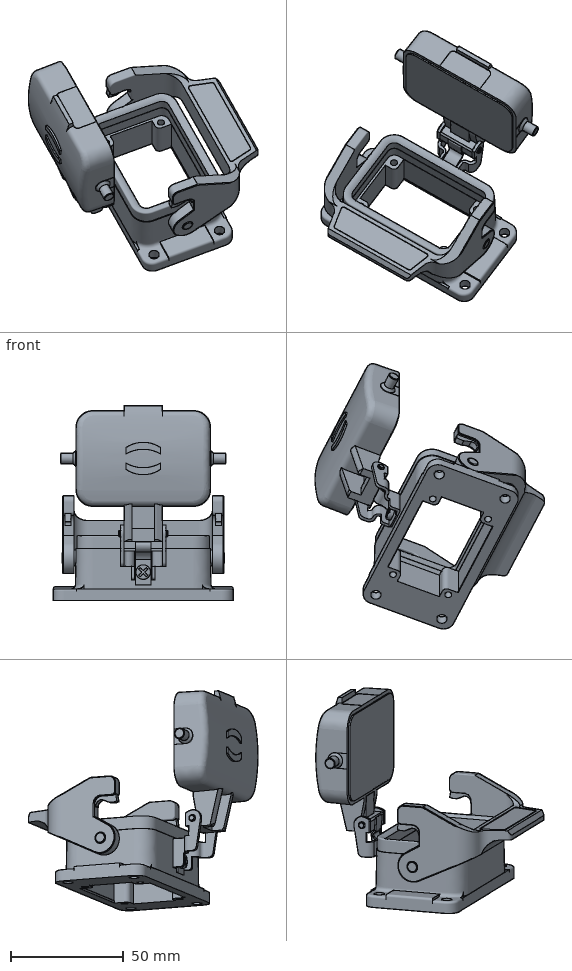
import cadquery as cq
import math

flange_length, flange_width, flange_height = 80.01, 43.5, 5.3
flange_corner_radius = 5.0
flange_edge_radius = 1.1
raised_pad_height = 6.3
raised_pad_width = 22.0
mount_hole_diameter = 4.5
mount_hole_x, mount_hole_y = 35.0, 16.0

wall_base_length, wall_base_width, wall_corner_radius = 60.4, 43.4, 7.7
wall_top_z = 23.1
wall_draft = 1.0
foot_radius = 1.8

collar_length, collar_width, collar_top_z = 59.1, 42.4, 28.9
collar_corner_radius = 7.3
collar_outer_radius, collar_crown_radius = 0.6, 5.0
collar_crown_inset = 1.9

opening_length, opening_width, opening_corner_radius = 51.4, 34.8, 3.5
wall_step = 0.1
ledge_z, lip_z = 17.3, 1.0
lower_opening_length = 49.0
post_x, post_y, post_corner_radius = 19.2, 10.2, 2.2
post_hole_x, post_hole_y, post_hole_diameter = 22.0, 13.4, 3.0

pivot_z = 19.0
pivot_diameter, pivot_hole_diameter, pivot_boss_diameter = 5.0, 5.1, 7.0
pivot_end_x = 36.15
pivot_chamfer = 0.4
lever_outer_x, lever_inner_x = 35.8, 30.7
lever_eye_radius = 7.0
lever_slope = math.radians(25.3)
lever_edge_chamfer, nose_edge_radius = 0.35, 0.5
lever_top_z, lever_top_end_y = 46.7, 5.0
nose_y, nose_under_z = -7.2, 37.9
nose_top_radius, nose_under_radius, throat_radius = 2.9, 1.6, 3.2
throat_y, throat_bottom_z = 3.1, 28.9
bend_start_y = 19.2
crossbar_x, crossbar_inner_y = 24.9, 25.1
handle_end_y, handle_top_z, handle_under_z = 41.46, 35.7, 31.4
handle_recess_depth = 0.3

latch_inner_x, latch_outer_x = 32.2, 34.8

lid_length, lid_height, lid_corner_radius = 59.8, 42.6, 7.5
lid_middle_z = 63.2
lid_back_y, lid_front_y = -33.1, -48.95
lid_dome_radius = 79.7
lid_draft = 1.0
lid_edge_radius = 2.9
lid_top_z = lid_middle_z + lid_height / 2
seal_length, seal_height, seal_corner_radius, seal_back_y = 56.4, 39.3, 6.0, -32.4
tab_length, tab_top_z, tab_back_y = 17.0, 86.73, -43.4
top_pad_length, top_pad_front_y, top_pad_radius = 21.4, -43.2, 1.8
lid_pin_y, lid_pin_diameter, lid_pin_end_x = -38.7, 4.75, 36.8
lid_boss_diameter, lid_boss_x, lid_cone_end_x = 7.0, 30.0, 31.3
lid_pin_chamfer = 0.3
badge_half_length, badge_front_y = 7.6, -49.57

hinge_y, hinge_z = -33.4, 29.8
hinge_pin_diameter, hinge_pin_end_x = 3.0, 10.9
ear_outer_x, ear_inner_x, ear_radius = 10.0, 8.5, 3.8
bracket_top_z, bracket_leg_bottom_z, bracket_ear_bottom_z = 22.1, 9.3, 15.2
bracket_back_y, bracket_plate_y, bracket_leg_end_y = -21.3, -22.8, -26.9
bracket_foot_radius = 1.2
notch_half_length, notch_front_y, notch_depth = 1.7, -22.3, 2.0
arm_inner_x = 4.9
arm_chamfer_depth, arm_chamfer_width = 2.3, 0.6
web_front_y, web_back_y, web_bottom_z = -35.0, -33.3, 31.7
knuckle_top_z = 32.0
hinge_pin_chamfer = 0.4
leaf_length, leaf_thickness = 7.0, 0.7
screw_z, screw_head_diameter, screw_head_y = 12.7, 6.5, -25.4
screw_head_radius = 0.6
screw_slot_length, screw_slot_width, screw_slot_depth = 4.8, 1.0, 0.8


def rounded_block(length, width, bottom, height, radius):
    """Upright block with rounded vertical corners, centred on the Z axis."""
    block = cq.Workplane("XY").workplane(offset=bottom).rect(length, width).extrude(height)
    return block.edges("|Z").fillet(radius)


def box_between(x_range, y_range, z_range):
    """Box given by its limits along X, Y and Z."""
    sizes = [end - start for start, end in (x_range, y_range, z_range)]
    box = cq.Workplane("XY").box(*sizes, centered=False)
    return box.translate((x_range[0], y_range[0], z_range[0]))


def cylinder_along_x(diameter, start, end, y, z):
    """Round bar parallel to X."""
    bar = cq.Workplane("YZ").workplane(offset=start).center(y, z).circle(diameter / 2)
    return bar.extrude(end - start)


def side_plate(outline, start, end):
    """Closed Y-Z outline made into a plate from x = start to x = end."""
    return outline.extrude(end - start).translate((start, 0, 0))


def with_mirror(half):
    """The shape together with its mirror image across the Y-Z plane."""
    return half.union(half.mirror("YZ")).clean()


def round_corner(wire, start, corner, end):
    """Line to start, then a quarter round to end inside a square corner."""
    share = 1 - math.sqrt(0.5)
    middle = [
        (a + b) * share + c * (1 - 2 * share)
        for a, b, c in zip(start, end, corner)
    ]
    return wire.lineTo(*start).threePointArc(tuple(middle), end)


def make_flange():
    half_length = flange_length / 2
    flange = rounded_block(flange_length, flange_width, 0, flange_height, flange_corner_radius)
    flange = flange.faces(">Z").edges().fillet(flange_edge_radius)
    pad = box_between(
        (-half_length, half_length),
        (-raised_pad_width / 2, raised_pad_width / 2),
        (0, raised_pad_height),
    )
    pad = pad.edges("|Y and >Z").fillet(flange_edge_radius)
    sill = cq.Workplane("XY").rect(wall_base_length - 1.0, flange_width).extrude(flange_height)
    holes = (
        cq.Workplane("XY")
        .rect(2 * mount_hole_x, 2 * mount_hole_y, forConstruction=True)
        .vertices()
        .circle(mount_hole_diameter / 2)
        .extrude(raised_pad_height)
    )
    return flange.union(pad).union(sill).cut(holes)


def make_walls():
    """Drafted walls with a rounded foot where they meet the flange."""
    walls = (
        cq.Workplane("XY")
        .workplane(offset=flange_height)
        .sketch()
        .rect(wall_base_length, wall_base_width)
        .vertices()
        .fillet(wall_corner_radius)
        .finalize()
        .extrude(wall_top_z - flange_height, taper=wall_draft)
    )
    half_length, half_width = wall_base_length / 2 + 0.1, wall_base_width / 2 + 0.1
    ground = cq.Workplane("XY").rect(flange_length, 2 * flange_width).extrude(flange_height)
    footed = ground.union(walls)
    foot_edges = cq.selectors.BoxSelector(
        (-half_length, -half_width, flange_height - 0.1),
        (half_length, half_width, flange_height + 0.1),
    )
    footed = footed.edges(foot_edges).fillet(foot_radius)
    foot_limit = flange_width / 2 - flange_edge_radius
    foot = footed.intersect(box_between(
        (-flange_length / 2, flange_length / 2),
        (-foot_limit, foot_limit),
        (flange_height, wall_top_z),
    ))
    return walls.union(foot)


def make_collar():
    height = collar_top_z - wall_top_z
    collar = rounded_block(collar_length, collar_width, wall_top_z, height, collar_corner_radius)
    collar = collar.faces(">Z").edges().fillet(collar_outer_radius)
    bore = rounded_block(
        opening_length - 2 * collar_crown_inset,
        opening_width - 2 * collar_crown_inset,
        wall_top_z,
        height,
        opening_corner_radius - collar_crown_inset,
    )
    collar = collar.cut(bore)
    collar = collar.faces(">Z").wires(cq.selectors.AreaNthSelector(0)).fillet(collar_crown_radius)
    opening = rounded_block(opening_length, opening_width, wall_top_z, height, opening_corner_radius)
    return collar.cut(opening)


def make_opening():
    """Clear space inside the housing, stepping in downward, with a post left in each lower corner."""
    upper_length, upper_width = opening_length - 2 * wall_step, opening_width - 2 * wall_step
    upper = rounded_block(upper_length, upper_width, ledge_z, wall_top_z - ledge_z, opening_corner_radius)
    lower = cq.Workplane("XY").rect(lower_opening_length, 2 * post_y).extrude(ledge_z)
    middle = (
        cq.Workplane("XY")
        .workplane(offset=lip_z)
        .rect(2 * post_x, upper_width - 2 * wall_step)
        .extrude(ledge_z - lip_z)
    )
    lip_opening = cq.Workplane("XY").rect(2 * post_x, upper_width - 6 * wall_step).extrude(lip_z)
    lower = lower.union(middle).union(lip_opening)
    for side_x in (-1, 1):
        for side_y in (-1, 1):
            rim = cq.selectors.NearestToPointSelector((side_x * post_x, side_y * post_y, ledge_z / 2))
            lower = lower.edges(rim).fillet(post_corner_radius)
    holes = (
        cq.Workplane("XY")
        .rect(2 * post_hole_x, 2 * post_hole_y, forConstruction=True)
        .vertices()
        .circle(post_hole_diameter / 2)
        .extrude(ledge_z)
    )
    return upper.union(lower).union(holes)


def make_pivot():
    """Pivot stub on the -X wall: a round boss and the pin the lever turns on."""
    wall_x = wall_base_length / 2 - 1.5
    boss = cylinder_along_x(pivot_boss_diameter, -lever_inner_x, -wall_x, 0, pivot_z)
    pin = cylinder_along_x(pivot_diameter, -pivot_end_x, -wall_x, 0, pivot_z)
    return boss.union(pin.faces("<X").chamfer(pivot_chamfer))


def make_hinge_bracket():
    """Bent sheet bracket: U-shaped strap on the wall, flared out to two hinge ears."""
    leg_x, leg_inner_x = 5.2, 3.9
    flare_back_y, flare_front_y = -28.5, -29.9
    ear_foot_y = -31.6
    strap_half = (
        cq.Workplane("XY")
        .moveTo(0, bracket_back_y)
        .lineTo(-3.7, bracket_back_y)
        .threePointArc((-4.75, -21.8), (-leg_x, bracket_back_y - 1.8))
        .lineTo(-leg_x, -27.5)
        .threePointArc((-5.5, -28.2), (-6.2, flare_back_y))
        .lineTo(-7.8, flare_back_y)
        .threePointArc((-9.39, -29.7), (-ear_outer_x, ear_foot_y))
        .lineTo(-ear_inner_x, ear_foot_y)
        .threePointArc((-8.0, -30.4), (-6.9, flare_front_y))
        .threePointArc((-4.8, -29.1), (-leg_inner_x, -27.5))
        .lineTo(-leg_inner_x, bracket_plate_y)
        .lineTo(0, bracket_plate_y)
        .close()
    )
    strap = with_mirror(strap_half.extrude(bracket_top_z - bracket_leg_bottom_z))
    strap = strap.translate((0, 0, bracket_leg_bottom_z))
    under_flare = box_between(
        (-ear_outer_x, ear_outer_x),
        (ear_foot_y, bracket_leg_end_y),
        (bracket_leg_bottom_z, bracket_ear_bottom_z),
    )
    strap = strap.cut(under_flare)
    strap = strap.edges(cq.selectors.BoxSelector(
        (-leg_x - 0.1, bracket_leg_end_y - 0.1, bracket_leg_bottom_z - 0.1),
        (leg_x + 0.1, bracket_leg_end_y + 0.1, bracket_leg_bottom_z + 0.1),
    )).fillet(bracket_foot_radius)
    notch = box_between(
        (-notch_half_length, notch_half_length),
        (notch_front_y, bracket_back_y),
        (bracket_top_z - notch_depth, bracket_top_z),
    )
    strap = strap.cut(notch)

    ear = (
        cq.Workplane("YZ")
        .moveTo(ear_foot_y, bracket_ear_bottom_z)
        .lineTo(-33.5, bracket_ear_bottom_z)
        .threePointArc((-34.7, 15.8), (-35.3, 17.0))
        .lineTo(hinge_y - ear_radius, hinge_z - 0.8)
        .threePointArc((-36.1, 32.5), (hinge_y, hinge_z + ear_radius))
        .lineTo(ear_foot_y, 33.2)
        .lineTo(-30.0, 32.4)
        .lineTo(-30.0, 26.5)
        .lineTo(ear_foot_y, 26.5)
        .close()
    )
    ear = side_plate(ear, -ear_outer_x, -ear_inner_x)
    pin_hole = cylinder_along_x(hinge_pin_diameter, -ear_outer_x, ear_outer_x, hinge_y, hinge_z)
    return strap.union(ear).union(ear.mirror("YZ")).cut(pin_hole)


def make_leaf_spring():
    """Strip clamped by the screw and bent up against the lid hinge."""
    leaf_y = bracket_plate_y - leaf_thickness / 2
    strip = (
        cq.Workplane("YZ")
        .moveTo(leaf_y, 7.4)
        .lineTo(leaf_y, 18.4)
        .threePointArc((-25.2, 21.0), (-28.0, 22.1))
        .threePointArc((-30.2, 23.1), (-30.6, 24.8))
        .lineTo(-29.6, 26.0)
        .lineTo(-29.2, 31.8)
        .offset2D(leaf_thickness / 2)
    )
    return side_plate(strip, -leaf_length / 2, leaf_length / 2)


def make_screw():
    head = (
        cq.Workplane("XZ")
        .workplane(offset=-bracket_back_y)
        .center(0, screw_z)
        .circle(screw_head_diameter / 2)
        .extrude(bracket_back_y - screw_head_y)
    )
    head = head.faces("<Y").edges().fillet(screw_head_radius)
    for angle in (45, 135):
        slot = (
            cq.Workplane("XZ")
            .workplane(offset=-screw_head_y - screw_slot_depth)
            .center(0, screw_z)
            .transformed(rotate=(0, 0, angle))
            .rect(screw_slot_length, screw_slot_width)
            .extrude(screw_slot_depth)
        )
        head = head.cut(slot)
    return head


def make_housing():
    housing = make_flange().union(make_walls())
    housing = housing.cut(make_opening()).union(make_collar())
    pivot = make_pivot()
    housing = housing.union(pivot).union(pivot.mirror("YZ"))
    return housing.union(make_hinge_bracket()).union(make_leaf_spring()).union(make_screw())


def lever_side_outline():
    """Y-Z outline of the lever: pivot eye, open hook, sloping back and handle."""
    throat_height = throat_bottom_z - pivot_z
    throat_distance = math.hypot(throat_y, throat_height)
    neck_angle = math.atan2(throat_height, throat_y) + math.acos(lever_eye_radius / throat_distance)
    neck_end = (lever_eye_radius * math.cos(neck_angle), pivot_z + lever_eye_radius * math.sin(neck_angle))
    eye_bottom = (
        lever_eye_radius * math.sin(lever_slope),
        pivot_z - lever_eye_radius * math.cos(lever_slope),
    )
    heel_y = 29.2
    heel_z = eye_bottom[1] + (heel_y - eye_bottom[0]) * math.tan(lever_slope)
    shoulder_y = lever_top_end_y + (lever_top_z - handle_top_z) / math.tan(lever_slope)

    outline = (
        cq.Workplane("YZ")
        .moveTo(*eye_bottom)
        .lineTo(heel_y, heel_z)
        .threePointArc((32.2, 29.7), (37.0, handle_under_z))
        .lineTo(handle_end_y, handle_under_z)
        .lineTo(handle_end_y, 33.5)
        .lineTo(40.0, handle_top_z)
        .lineTo(shoulder_y, handle_top_z)
        .lineTo(lever_top_end_y, lever_top_z)
    )
    outline = round_corner(
        outline,
        (nose_y + nose_top_radius, lever_top_z),
        (nose_y, lever_top_z),
        (nose_y, lever_top_z - nose_top_radius),
    )
    outline = round_corner(
        outline,
        (nose_y, nose_under_z + nose_under_radius),
        (nose_y, nose_under_z),
        (nose_y + nose_under_radius, nose_under_z),
    )
    outline = round_corner(
        outline,
        (throat_y - throat_radius, nose_under_z),
        (throat_y, nose_under_z),
        (throat_y, nose_under_z - throat_radius),
    )
    return (
        outline.lineTo(throat_y, throat_bottom_z)
        .lineTo(*neck_end)
        .threePointArc((-lever_eye_radius, pivot_z), eye_bottom)
        .close()
    )


def lever_plan():
    """Upright block with the lever's shape seen from above: two sides, a crossbar and a handle."""
    bend_radius = lever_inner_x - crossbar_x
    bend_middle = bend_radius * math.sqrt(0.5)
    half = (
        cq.Workplane("XY")
        .moveTo(-lever_outer_x, nose_y - 1.0)
        .lineTo(-lever_outer_x, bend_start_y)
        .tangentArcPoint((-27.5, 28.7), relative=False)
        .threePointArc((-25.5, 29.8), (-24.2, 31.8))
        .lineTo(-22.0, 40.0)
        .threePointArc((-21.4, 41.0), (-20.2, handle_end_y))
        .lineTo(0, handle_end_y)
        .lineTo(0, crossbar_inner_y)
        .lineTo(-crossbar_x, crossbar_inner_y)
        .threePointArc(
            (-crossbar_x - bend_middle, bend_start_y + bend_middle),
            (-lever_inner_x, bend_start_y),
        )
        .lineTo(-lever_inner_x, nose_y - 1.0)
        .close()
        .extrude(lever_top_z)
    )
    return with_mirror(half)


def make_crossbar_relief(slope_z):
    """Space above the crossbar, with rounded ends that lead the inner bend up to the sloping sides."""
    depth = handle_end_y - bend_start_y
    relief = box_between(
        (-crossbar_x, crossbar_x),
        (bend_start_y, handle_end_y),
        (handle_top_z, lever_top_z),
    )
    for side in (-1, 1):
        end = (
            cq.Workplane("XZ", origin=(side * crossbar_x, handle_end_y, slope_z))
            .ellipse(lever_inner_x - crossbar_x, slope_z - handle_top_z)
            .extrude(depth)
        )
        relief = relief.union(end)
    return relief


def make_handle_recess():
    recess = (
        cq.Workplane("XY")
        .workplane(offset=handle_top_z - handle_recess_depth)
        .polyline([(-20.2, 38.2), (20.2, 38.2), (23.1, 26.9), (-23.1, 26.9)])
        .close()
        .extrude(handle_recess_depth)
    )
    return recess.edges("|Z").fillet(1.0)


def make_latch_spring():
    """Wavy spring that lies under the lever nose and grips the lid pin."""
    wave = (
        cq.Workplane("YZ")
        .moveTo(throat_y, nose_under_z - throat_radius - 1.2)
        .lineTo(2.5, 33.5)
        .threePointArc((1.4, 35.9), (-0.4, 36.4))
        .threePointArc((-2.2, 35.6), (-4.0, 34.9))
        .lineTo(-6.2, 34.9)
        .lineTo(-7.5, 35.3)
        .lineTo(-6.9, 39.0)
        .lineTo(throat_y, 39.0)
        .close()
    )
    return side_plate(wave, -latch_outer_x, -latch_inner_x)


def make_lever():
    lever = side_plate(lever_side_outline(), -lever_outer_x, lever_outer_x)
    lever = lever.faces("<X or >X").edges().chamfer(lever_edge_chamfer)
    lever = lever.intersect(lever_plan())
    for nose_inner_x in (-lever_inner_x, lever_inner_x):
        nose_edge = cq.selectors.NearestToPointSelector((nose_inner_x, nose_y, 42.0))
        lever = lever.edges(nose_edge).fillet(nose_edge_radius)
    slope_z = lever_top_z - (bend_start_y - lever_top_end_y) * math.tan(lever_slope)
    latch = make_latch_spring()
    pivot_hole = cylinder_along_x(pivot_hole_diameter, -lever_outer_x, lever_outer_x, 0, pivot_z)
    lever = lever.cut(make_crossbar_relief(slope_z)).cut(make_handle_recess()).cut(pivot_hole)
    return lever.union(latch).union(latch.mirror("YZ"))


def lid_slab(height, length, radius, back_y, depth, taper=0):
    """Rounded slab facing -Y, centred on the lid."""
    return (
        cq.Workplane("XZ")
        .workplane(offset=-back_y)
        .center(0, lid_middle_z)
        .sketch()
        .rect(length, height)
        .vertices()
        .fillet(radius)
        .finalize()
        .extrude(depth, taper=taper)
    )


def dome_block():
    """Block whose -Y face is the gently curved lid front."""
    reach = tab_top_z - lid_middle_z + 5.0
    end_y = lid_front_y + lid_dome_radius - math.sqrt(lid_dome_radius**2 - reach**2)
    profile = (
        cq.Workplane("YZ")
        .moveTo(lid_back_y, lid_middle_z - reach)
        .lineTo(end_y, lid_middle_z - reach)
        .threePointArc((lid_front_y, lid_middle_z), (end_y, lid_middle_z + reach))
        .lineTo(lid_back_y, lid_middle_z + reach)
        .close()
    )
    return side_plate(profile, -lid_length / 2, lid_length / 2)


def make_lid_shell(dome):
    depth = lid_back_y - lid_front_y + 1.0
    shell = lid_slab(lid_height, lid_length, lid_corner_radius, lid_back_y, depth, lid_draft)
    shell = shell.intersect(dome)
    front = cq.selectors.NearestToPointSelector((0, lid_front_y, lid_middle_z))
    shell = shell.faces(front).edges().fillet(lid_edge_radius)
    seal = lid_slab(seal_height, seal_length, seal_corner_radius, seal_back_y, seal_back_y - lid_back_y)
    return shell.union(seal)


def make_lid_tab(dome):
    """Finger tab at the top edge with the flat pad behind it."""
    tab = box_between(
        (-tab_length / 2, tab_length / 2),
        (lid_front_y, tab_back_y),
        (lid_top_z - 3.5, tab_top_z),
    ).intersect(dome)
    pad = box_between(
        (-top_pad_length / 2, top_pad_length / 2),
        (top_pad_front_y, lid_back_y),
        (lid_top_z - 2.0, lid_top_z + 0.05),
    )
    return tab.union(pad.edges("|Z and <Y").fillet(top_pad_radius))


def make_lid_pin():
    """Latching pin at the -X side, on a boss whose flat runs to the lid's back edge."""
    inside_x = lid_boss_x - 2.0
    boss = cylinder_along_x(lid_boss_diameter, -lid_boss_x, -inside_x, lid_pin_y, lid_middle_z)
    flat = box_between(
        (-lid_boss_x, -inside_x),
        (lid_pin_y, lid_back_y),
        (lid_middle_z - lid_boss_diameter / 2, lid_middle_z + lid_boss_diameter / 2),
    )
    cone = (
        cq.Workplane("YZ", origin=(-lid_boss_x, lid_pin_y, lid_middle_z))
        .circle(lid_boss_diameter / 2)
        .workplane(offset=lid_boss_x - lid_cone_end_x)
        .circle(lid_pin_diameter / 2)
        .loft()
    )
    pin = cylinder_along_x(lid_pin_diameter, -lid_pin_end_x, -inside_x, lid_pin_y, lid_middle_z)
    pin = pin.faces("<X").chamfer(lid_pin_chamfer)
    return boss.union(flat).union(cone).union(pin)


def make_badge():
    """Two bowed bars raised on the lid front."""
    outer_end, outer_middle = 4.9, 7.2
    inner_end, inner_middle = 2.1, 4.1
    bar = (
        cq.Workplane("XZ", origin=(0, lid_front_y + 1.0, lid_middle_z))
        .moveTo(-badge_half_length, inner_end)
        .lineTo(-badge_half_length, outer_end)
        .threePointArc((0, outer_middle), (badge_half_length, outer_end))
        .lineTo(badge_half_length, inner_end)
        .threePointArc((0, inner_middle), (-badge_half_length, inner_end))
        .close()
        .extrude(lid_front_y + 1.0 - badge_front_y)
    )
    return bar.union(bar.mirror("XY", (0, 0, lid_middle_z)))


def make_lid_hinge():
    """Two arms below the lid, the web between them, and the knuckle with its pin."""
    arm_bottom_z, arm_top_z = 26.3, 44.5
    arm = (
        cq.Workplane("YZ")
        .moveTo(lid_back_y, arm_top_z)
        .lineTo(lid_back_y, 40.0)
        .lineTo(-34.6, 32.0)
        .lineTo(-34.6, arm_bottom_z)
        .lineTo(-41.3, arm_bottom_z)
        .lineTo(-42.1, 27.3)
        .lineTo(-46.3, arm_top_z)
        .close()
    )
    arm = side_plate(arm, -ear_inner_x, -arm_inner_x)
    outer_front = cq.selectors.NearestToPointSelector((-ear_inner_x, -44.2, 35.9))
    arm = arm.edges(outer_front).chamfer(arm_chamfer_depth, arm_chamfer_width)

    web = box_between(
        (-arm_inner_x, arm_inner_x),
        (web_front_y, web_back_y),
        (web_bottom_z, arm_top_z),
    )
    knuckle = (
        cq.Workplane("YZ")
        .moveTo(-30.0, 26.6)
        .lineTo(-30.0, knuckle_top_z - 0.8)
        .lineTo(-30.8, knuckle_top_z)
        .lineTo(-36.5, knuckle_top_z)
        .lineTo(-36.5, arm_bottom_z)
        .lineTo(-30.3, arm_bottom_z)
        .close()
    )
    knuckle = side_plate(knuckle, -ear_inner_x, ear_inner_x)
    pin = cylinder_along_x(hinge_pin_diameter, -hinge_pin_end_x, hinge_pin_end_x, hinge_y, hinge_z)
    pin = pin.faces("<X or >X").chamfer(hinge_pin_chamfer)
    return arm.union(arm.mirror("YZ")).union(web).union(knuckle).union(pin)


def make_lid():
    dome = dome_block()
    pin = make_lid_pin()
    lid = make_lid_shell(dome).union(make_lid_tab(dome)).union(make_badge())
    return lid.union(pin).union(pin.mirror("YZ")).union(make_lid_hinge())


housing = make_housing()
lever = make_lever()
lid = make_lid()
result = cq.Compound.makeCompound([housing.solids().val(), lever.solids().val(), lid.solids().val()])